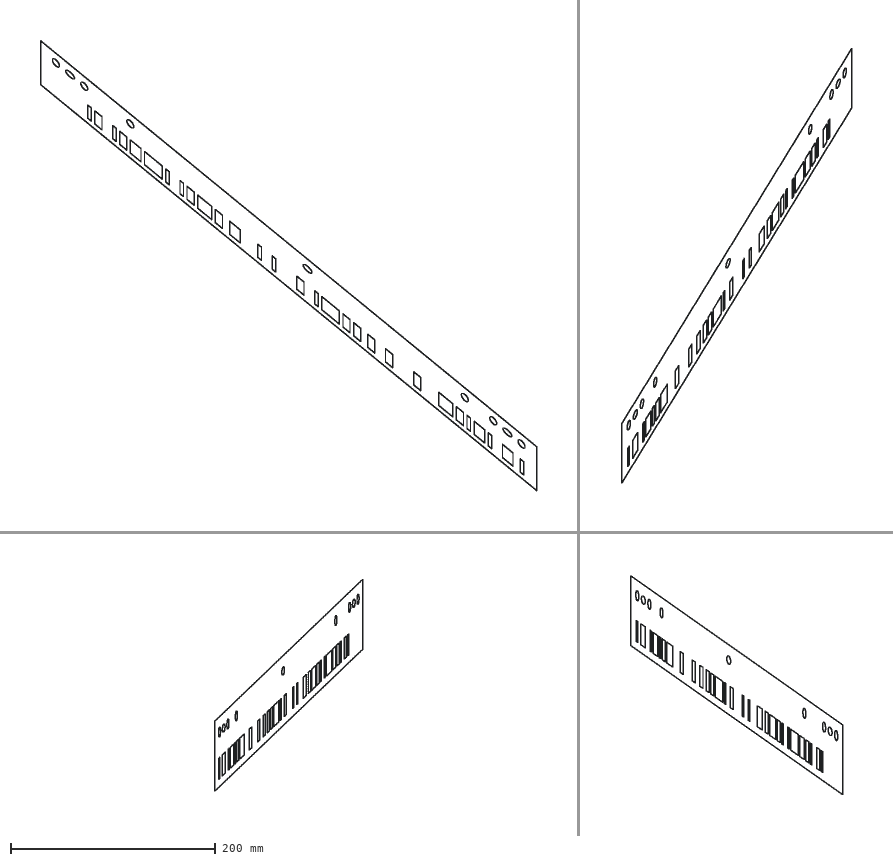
import cadquery as cq

length = 700.0
height = 70.0
thickness = 0.5
cut_depth = 2 * thickness

module = length / 140
first_window_inset = 66.5

window_height = 21.0
window_bottom_gap = 1.6 * module
window_z = -height / 2 + window_bottom_gap + window_height / 2
window_grid_lines = [
    (0, 1), (2, 4), (7, 8), (9, 11), (12, 15), (16, 21), (22, 23), (26, 27),
    (28, 30), (31, 35), (36, 38), (40, 43), (48, 49), (52, 53), (59, 61),
    (64, 65), (66, 71), (72, 74), (75, 77), (79, 81), (84, 86), (92, 94),
    (99, 103), (104, 106), (107, 108), (109, 112), (113, 114), (117, 120),
    (122, 123),
]

hole_diameter = 10.0
ellipse_length = 12.5
ellipse_height = window_bottom_gap
mount_top_gap = 15.5
mount_z = height / 2 - mount_top_gap


def grid_x(line):
    return -length / 2 + first_window_inset + line * module


outer_hole_x = grid_x(-9)
end_ellipse_x = grid_x(-5)
inner_hole_x = grid_x(-1)
left_hole_x = grid_x(12)
middle_ellipse_x = grid_x(62)
right_hole_x = -grid_x(7)

hole_positions = [outer_hole_x, inner_hole_x, left_hole_x, right_hole_x, -inner_hole_x, -outer_hole_x]
ellipse_positions = [end_ellipse_x, middle_ellipse_x, -end_ellipse_x]


def cut_through(plate, outlines):
    return plate.cut(outlines.extrude(cut_depth, both=True))


def cut_windows(plate):
    for first_line, last_line in window_grid_lines:
        width = (last_line - first_line) * module
        center_x = (grid_x(first_line) + grid_x(last_line)) / 2
        window = cq.Workplane("XZ").center(center_x, window_z).rect(width, window_height)
        plate = cut_through(plate, window)
    return plate


def cut_mounting_row(plate):
    hole_points = [(x, mount_z) for x in hole_positions]
    ellipse_points = [(x, mount_z) for x in ellipse_positions]
    holes = cq.Workplane("XZ").pushPoints(hole_points).circle(hole_diameter / 2)
    ellipses = cq.Workplane("XZ").pushPoints(ellipse_points).ellipse(ellipse_length / 2, ellipse_height / 2)
    return cut_through(cut_through(plate, holes), ellipses)


blank = cq.Workplane("XZ").rect(length, height).extrude(thickness / 2, both=True)
result = cut_mounting_row(cut_windows(blank))